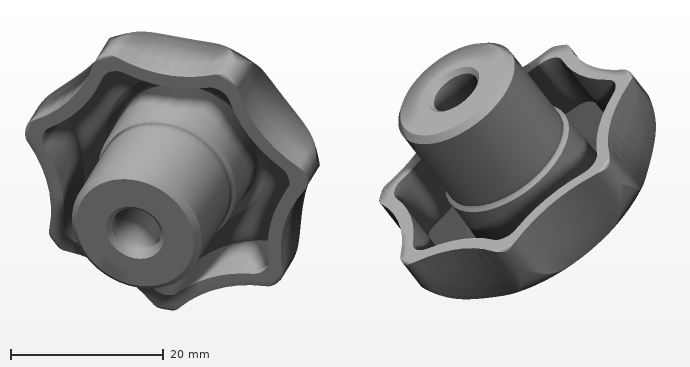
import cadquery as cq
import math


lobe_count = 7
body_radius = 20.0
dome_height = 12.0
shoulder_radius = 6.65
shoulder_start = 3.68
rim_fillet = 0.5

tip_fillet = 2.5
scallop_depth_radius = 16.75

cavity_depth = 8.6
cavity_tip_radius = 17.5
cavity_scallop_depth_radius = 14.9

hub_radius = 9.0
hub_length = 13.0
hub_chamfer = 0.82
root_radius = 9.55
root_base_radius = 9.75
root_chamfer = root_radius - hub_radius

groove_outer_radius = 11.2
groove_inner_radius = 10.0
groove_depth = 0.3

bore_radius = 3.35
bore_chamfer = 0.63
bore_depth = 18.0

lobe_pitch = 2 * math.pi / lobe_count


def polar(radius, angle):
    return (radius * math.cos(angle), radius * math.sin(angle))


def lobed_prism(tip_radius, valley_radius, depth):
    """Prism from Y = 0 to Y = depth with tangent tip and scallop arcs; one lobe points to -Z."""
    tip_center = tip_radius - tip_fillet
    half_pitch = lobe_pitch / 2
    along = tip_center * math.cos(half_pitch)
    across = tip_center * math.sin(half_pitch)
    gap = valley_radius - along
    scallop_radius = (across**2 + gap**2 - tip_fillet**2) / (2 * (tip_fillet - gap))
    scallop_center = valley_radius + scallop_radius
    share = tip_fillet / (tip_fillet + scallop_radius)
    join_along = along + share * (scallop_center - along)
    join_across = across * (1 - share)
    join_radius = math.hypot(join_along, join_across)
    join_angle = half_pitch - math.atan2(join_across, join_along)

    first_lobe = -math.pi / 2
    outline = cq.Workplane("XZ").moveTo(*polar(join_radius, first_lobe - join_angle))
    for index in range(lobe_count):
        lobe = first_lobe + index * lobe_pitch
        next_lobe = lobe + lobe_pitch
        outline = outline.threePointArc(polar(tip_radius, lobe), polar(join_radius, lobe + join_angle))
        outline = outline.threePointArc(
            polar(valley_radius, lobe + half_pitch), polar(join_radius, next_lobe - join_angle)
        )
    return outline.close().extrude(-depth)


def revolve_about_y(profile):
    return profile.close().revolve(360, (0, 0, 0), (0, 1, 0))


def domed_body():
    """Round body: a shallow spherical dome running tangentially into the shoulder arc."""
    center_r = body_radius - shoulder_radius
    rise = dome_height - shoulder_start
    dome_radius = (center_r**2 + rise**2 - shoulder_radius**2) / (2 * (rise - shoulder_radius))
    dome_center = dome_height - dome_radius
    slope = math.atan2(center_r, shoulder_start - dome_center)
    dome_edge = (dome_radius * math.sin(slope), dome_center + dome_radius * math.cos(slope))
    dome_middle = (dome_radius * math.sin(slope / 2), dome_center + dome_radius * math.cos(slope / 2))
    shoulder_angle = (math.pi / 2 - slope) / 2
    shoulder_middle = (
        center_r + shoulder_radius * math.cos(shoulder_angle),
        shoulder_start + shoulder_radius * math.sin(shoulder_angle),
    )
    rim_center_r = body_radius - rim_fillet
    rim_middle = (
        rim_center_r + rim_fillet * math.sqrt(0.5),
        rim_fillet * (1 - math.sqrt(0.5)),
    )
    profile = (
        cq.Workplane("XY")
        .lineTo(rim_center_r, 0)
        .threePointArc(rim_middle, (body_radius, rim_fillet))
        .lineTo(body_radius, shoulder_start)
        .threePointArc(shoulder_middle, dome_edge)
        .threePointArc(dome_middle, (0, dome_height))
    )
    return revolve_about_y(profile)


def floor_groove():
    groove_floor = cavity_depth + groove_depth
    return revolve_about_y(
        cq.Workplane("XY").polyline([
            (0, cavity_depth),
            (groove_outer_radius, cavity_depth),
            (groove_inner_radius, groove_floor),
            (0, groove_floor),
        ])
    )


def hub():
    hub_top = cavity_depth + groove_depth
    return revolve_about_y(
        cq.Workplane("XY").polyline([
            (0, -hub_length),
            (hub_radius - hub_chamfer, -hub_length),
            (hub_radius, hub_chamfer - hub_length),
            (hub_radius, 0),
            (root_radius, root_chamfer),
            (root_base_radius, hub_top),
            (0, hub_top),
        ])
    )


def bore():
    bore_end = bore_depth - hub_length
    return revolve_about_y(
        cq.Workplane("XY").polyline([
            (0, -hub_length),
            (bore_radius + bore_chamfer, -hub_length),
            (bore_radius, bore_chamfer - hub_length),
            (bore_radius, bore_end),
            (0, bore_end),
        ])
    )


grip = domed_body().intersect(lobed_prism(body_radius, scallop_depth_radius, dome_height))
cavity = lobed_prism(cavity_tip_radius, cavity_scallop_depth_radius, cavity_depth)
result = grip.cut(cavity).cut(floor_groove()).union(hub()).cut(bore())